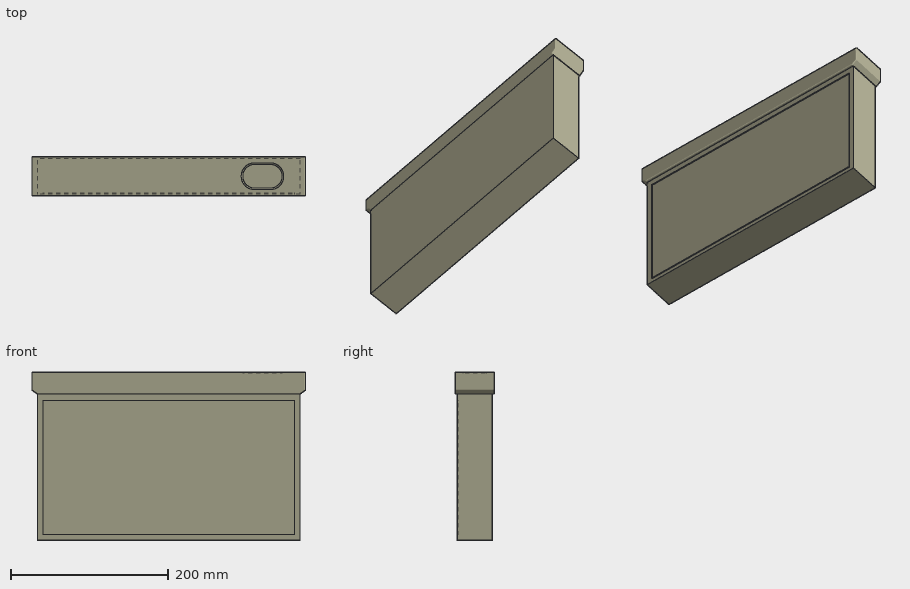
import cadquery as cq
import math

total_length = 348.0
total_depth = 50.0
total_height = 214.0

cap_height = 28.0
cap_edge_radius = 1.5
cap_end_slope_rise = 5.0

body_end_setback = 7.0
body_face_setback = 2.5
body_length = total_length - 2 * body_end_setback
body_depth = total_depth - 2 * body_face_setback
body_height = total_height - cap_height

panel_border = 7.5
panel_length = body_length - 2 * panel_border
panel_height = 170.0
panel_recess_depth = 1.2

obround_length = 54.0
obround_width = 34.0
obround_depth = 1.0
obround_center_x = 119.0
obround_wall_inset = 2.0
obround_taper_angle = math.degrees(math.atan2(obround_wall_inset, obround_depth))


def make_cap():
    """Bar with sloped lower ends and every edge rounded."""
    half_length = total_length / 2
    slope_start_x = half_length - body_end_setback
    profile = [
        (-slope_start_x, body_height),
        (slope_start_x, body_height),
        (half_length, body_height + cap_end_slope_rise),
        (half_length, total_height),
        (-half_length, total_height),
        (-half_length, body_height + cap_end_slope_rise),
    ]
    bar = cq.Workplane("XZ").polyline(profile).close().extrude(total_depth / 2, both=True)
    return bar.edges().fillet(cap_edge_radius)


def make_body():
    """Plain block that runs from the base up to the underside of the cap."""
    return cq.Workplane("XY").box(
        body_length, body_depth, body_height, centered=(True, True, False)
    )


def make_panel_recess():
    """Rectangular cutter for the front panel."""
    return (
        cq.Workplane("XY")
        .box(panel_length, panel_recess_depth, panel_height, centered=(True, False, False))
        .translate((0, -body_depth / 2, panel_border))
    )


def make_obround_recess():
    """Obround cutter whose walls slope inward towards its floor."""
    return (
        cq.Workplane("XY", origin=(obround_center_x, 0, total_height))
        .slot2D(obround_length, obround_width)
        .extrude(-obround_depth, taper=obround_taper_angle)
    )


result = (
    make_cap()
    .union(make_body())
    .cut(make_panel_recess())
    .cut(make_obround_recess())
)